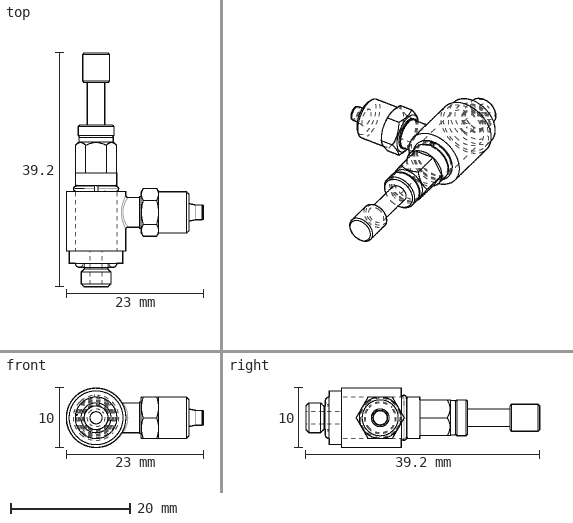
import cadquery as cq
import math


thread_radius = 2.5
thread_tip_radius = 2.0
thread_chamfer_end = 0.5
thread_end = 2.47
neck_radius = 1.95
neck_start = 3.02
bore_radius = 1.02

flange_radius = 4.5
flange_start = 3.92
flange_end = 5.95
seal_radius = 2.83
seal_wire_radius = 0.65

collar_radius = 3.5
collar_end = 19.1
clip_wire_radius = 0.45
clip_outer_radius = 3.8
clip_gap = 0.6
clip_groove_radius = 3.3
clip_groove_width = 1.0

hex_flats = 6.0
hex_end = 24.3
hex_tip_radius = 2.9
hex_chamfer_slope = 1.0
shoulder_radius = 2.9
cap_radius = 3.02
cap_start = 25.1
cap_end = 27.15
cap_chamfer = 0.27

rod_radius = 1.5
knob_radius = 2.28
knob_start = 34.23
knob_end = 39.25
knob_chamfer = 0.27

overall_width = 23.0
ring_diameter = 10.0
ring_radius = ring_diameter / 2
ring_length = 10.05
ring_end = flange_end + ring_length
arm_y = 12.5
arm_radius = 2.5
arm_end = 7.25
arm_fillet = 0.3
spacer_radius = 2.65
nut_flats = 7.0
nut_start = 7.5
nut_end = 10.48
nut_face_radius = 3.3
nut_chamfer_slope = math.tan(math.radians(30))
barrel_radius = nut_flats / 2
barrel_end = 15.62
barrel_chamfer = 0.47
spigot_root_radius = 1.5
spigot_taper_end = 16.72
spigot_radius = 1.25
spigot_end = overall_width - ring_radius
spigot_chamfer_length = 0.25
spigot_chamfer_depth = 0.08


def y_plane(y):
    """Plane square to the stem at height y, with local X along +X and its normal along +Y."""
    return cq.Plane(origin=(0, y, 0), xDir=(1, 0, 0), normal=(0, 1, 0))


def x_plane(x):
    """Plane square to the hose arm at distance x, with local X along +Y and its normal along +X."""
    return cq.Plane(origin=(x, arm_y, 0), xDir=(0, 1, 0), normal=(1, 0, 0))


def rod(plane, radius, length):
    return cq.Workplane(plane).circle(radius).extrude(length)


def cone(plane, start_radius, end_radius, length):
    """Truncated cone standing on the plane."""
    solid = cq.Solid.makeCone(start_radius, end_radius, length, plane.origin, plane.zDir)
    return cq.Workplane(plane).newObject([solid])


def hex_bar(plane, flats, length):
    """Hexagonal bar with two corners on the local X axis and two flats facing +Z and -Z."""
    return cq.Workplane(plane).polygon(6, flats / math.cos(math.pi / 6)).extrude(length)


def ring_of_wire(y, centre_radius, wire_radius):
    """Torus around the stem axis."""
    section = cq.Workplane("XY").center(centre_radius, y).circle(wire_radius)
    return section.revolve(360, (-centre_radius, 0), (-centre_radius, 1))


def stem_lower_end():
    """Chamfered thread, neck and flange with its sealing ring."""
    thread = cone(y_plane(0), thread_tip_radius, thread_radius, thread_chamfer_end)
    thread = thread.union(rod(y_plane(thread_chamfer_end), thread_radius, thread_end - thread_chamfer_end))
    thread = thread.union(cone(y_plane(thread_end), thread_radius, neck_radius, neck_start - thread_end))
    neck = rod(y_plane(neck_start), neck_radius, flange_start - neck_start)
    flange = rod(y_plane(flange_start), flange_radius, flange_end - flange_start)
    seal = ring_of_wire(flange_start, seal_radius, seal_wire_radius)
    return thread.union(neck).union(flange).union(seal)


def stem_clip():
    """Retaining ring in the groove above the banjo, split on the +Z side."""
    clip_y = ring_end + clip_wire_radius
    clip = ring_of_wire(clip_y, clip_outer_radius - clip_wire_radius, clip_wire_radius)
    gap = cq.Workplane("XY").box(clip_gap, 2 * clip_wire_radius, clip_outer_radius, (True, True, False))
    return clip.cut(gap.translate((0, clip_y, 0)))


def stem_hexagon():
    """Hexagon whose upper corners are turned off by a cone."""
    corner_radius = hex_flats / 2 / math.cos(math.pi / 6)
    chamfer_length = (corner_radius - hex_tip_radius) * hex_chamfer_slope
    straight_length = hex_end - collar_end - chamfer_length
    envelope = rod(y_plane(collar_end), corner_radius, straight_length)
    tip = cone(y_plane(hex_end - chamfer_length), corner_radius, hex_tip_radius, chamfer_length)
    envelope = envelope.union(tip)
    return hex_bar(y_plane(collar_end), hex_flats, hex_end - collar_end).intersect(envelope)


def stem_upper_end():
    """Shoulder, cap, adjusting rod and knob."""
    shoulder = rod(y_plane(hex_end), shoulder_radius, cap_start - hex_end)
    cap = rod(y_plane(cap_start), cap_radius, cap_end - cap_start).edges().chamfer(cap_chamfer)
    adjusting_rod = rod(y_plane(cap_end), rod_radius, knob_start - cap_end)
    knob = rod(y_plane(knob_start), knob_radius, knob_end - knob_start).edges().chamfer(knob_chamfer)
    return shoulder.union(cap).union(adjusting_rod).union(knob)


def make_stem():
    journal = rod(y_plane(flange_end), collar_radius, ring_length)
    groove_end = ring_end + clip_groove_width
    groove = rod(y_plane(ring_end), clip_groove_radius, clip_groove_width)
    collar = rod(y_plane(groove_end), collar_radius, collar_end - groove_end)
    stem = journal.union(groove).union(collar)
    for section in (stem_lower_end(), stem_clip(), stem_hexagon(), stem_upper_end()):
        stem = stem.union(section)
    return stem.cut(rod(y_plane(0), bore_radius, flange_end))


def ring_with_arm():
    """Solid banjo ring and the start of its arm, blended where they meet."""
    ring = rod(y_plane(flange_end), ring_radius, ring_length)
    blended = ring.union(rod(x_plane(0), arm_radius, arm_end))
    return blended.edges("not %CIRCLE").edges("not %LINE").fillet(arm_fillet)


def hose_nut():
    """Hexagon with both ends turned off by cones."""
    corner_radius = nut_flats / 2 / math.cos(math.pi / 6)
    inner_chamfer = (corner_radius - nut_face_radius) * nut_chamfer_slope
    outer_chamfer = (corner_radius - barrel_radius) * nut_chamfer_slope
    envelope = cone(x_plane(nut_start), nut_face_radius, corner_radius, inner_chamfer)
    straight_length = nut_end - nut_start - inner_chamfer - outer_chamfer
    envelope = envelope.union(rod(x_plane(nut_start + inner_chamfer), corner_radius, straight_length))
    outer_tip = cone(x_plane(nut_end - outer_chamfer), corner_radius, barrel_radius, outer_chamfer)
    envelope = envelope.union(outer_tip)
    return hex_bar(x_plane(nut_start), nut_flats, nut_end - nut_start).intersect(envelope)


def hose_end():
    """Round barrel beyond the nut and the tapered hose spigot."""
    barrel = rod(x_plane(nut_end), barrel_radius, barrel_end - nut_end)
    barrel = barrel.faces(">X").edges().chamfer(barrel_chamfer)
    taper = cone(x_plane(barrel_end), spigot_root_radius, spigot_radius, spigot_taper_end - barrel_end)
    tip = rod(x_plane(spigot_taper_end), spigot_radius, spigot_end - spigot_taper_end)
    tip = tip.faces(">X").edges().chamfer(spigot_chamfer_length, spigot_chamfer_depth)
    return barrel.union(taper).union(tip)


def make_banjo():
    spacer = rod(x_plane(arm_end), spacer_radius, nut_start - arm_end)
    banjo = ring_with_arm().union(spacer).union(hose_nut()).union(hose_end())
    return banjo.cut(rod(y_plane(flange_end), collar_radius, ring_length))


stem = make_stem()
banjo = make_banjo()
result = cq.Compound.makeCompound([stem.solids().val(), banjo.solids().val()])